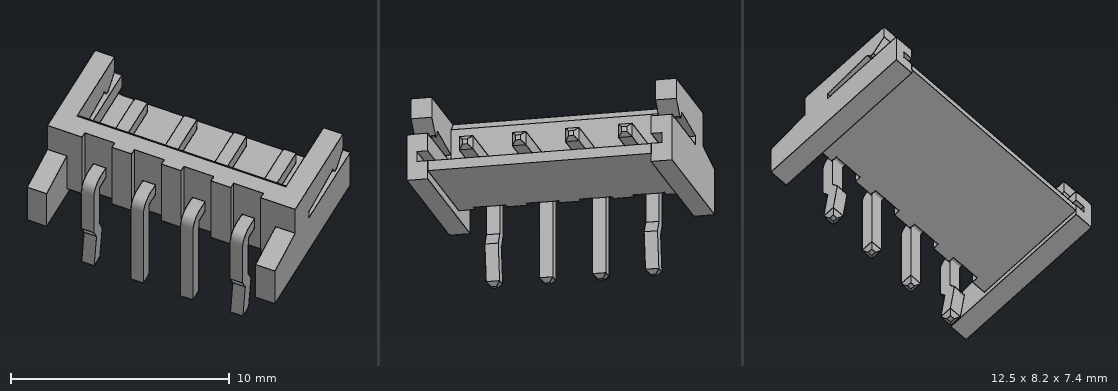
import cadquery as cq


HOUSING_WIDTH = 12.5
HOUSING_HEIGHT = 4.2
CHEEK_THICKNESS = 0.99
CHEEK_DEPTH = 8.2
INNER_WIDTH = HOUSING_WIDTH - 2 * CHEEK_THICKNESS

BASE_HEIGHT = 2.2
SHOULDER_DEPTH = 2.2
SHOULDER_HEIGHT = 2.6
SLOT_BACK = 3.7
SLOT_BACK_HEIGHT = SHOULDER_HEIGHT
ARM_END = 7.4
ARM_END_BOTTOM = 3.22
TOOTH_HEIGHT = 2.58
TOOTH_FRONT = 6.7
TOOTH_BACK = 6.5
TOOTH_ROOT = 6.3
TOOTH_ROOT_HEIGHT = 2.9

FLOOR_BOTTOM = 0.4
FLOOR_TOP = 0.88
FLOOR_END = 8.18
WALL_OUTER = SHOULDER_DEPTH
WALL_INNER = 3.68
LEAD_IN = 0.38
RECESS_WIDTH = 1.5
RECESS_DEPTH = 0.3

GROOVE_TOP = 1.35
GROOVE_DEPTH = 0.5

PIN_COUNT = 4
PIN_PITCH = 2.5
PIN_SIZE = 0.64
PIN_FRONT = 1.18
PIN_TOP = 2.32
PIN_BOTTOM = -3.2
CONTACT_END = 7.2
BEND_RADIUS = 0.71
TIP_CHAMFER = 0.2

KINK_START = -0.72
KINK_PEAK = -1.28
KINK_OFFSET = 0.3
KINK_END_OFFSET = 0.04


def extrude_across(outline, x_center, width):
    """Close a YZ outline and extrude it along X, centred on x_center."""
    return outline.close().extrude(width / 2, both=True).translate((x_center, 0, 0))


def cheek(x_center):
    """Side plate with a sloped shoulder and a hooked latch arm above a slot."""
    outline = cq.Workplane("YZ").polyline([
        (0, 0),
        (CHEEK_DEPTH, 0),
        (CHEEK_DEPTH, BASE_HEIGHT),
        (SLOT_BACK, BASE_HEIGHT),
        (SLOT_BACK, SLOT_BACK_HEIGHT),
        (TOOTH_ROOT, TOOTH_ROOT_HEIGHT),
        (TOOTH_BACK, TOOTH_HEIGHT),
        (TOOTH_FRONT, TOOTH_HEIGHT),
        (ARM_END, ARM_END_BOTTOM),
        (ARM_END, HOUSING_HEIGHT),
        (SHOULDER_DEPTH, HOUSING_HEIGHT),
        (SHOULDER_DEPTH, SHOULDER_HEIGHT),
        (0, BASE_HEIGHT),
    ])
    return extrude_across(outline, x_center, CHEEK_THICKNESS)


def floor_and_wall():
    """L-shaped body between the cheeks, with a lead-in chamfer on the wall's inner top edge."""
    outline = cq.Workplane("YZ").polyline([
        (WALL_OUTER, FLOOR_BOTTOM),
        (FLOOR_END, FLOOR_BOTTOM),
        (FLOOR_END, FLOOR_TOP),
        (WALL_INNER, FLOOR_TOP),
        (WALL_INNER, HOUSING_HEIGHT - LEAD_IN),
        (WALL_INNER - LEAD_IN, HOUSING_HEIGHT),
        (WALL_OUTER, HOUSING_HEIGHT),
    ])
    return extrude_across(outline, 0, INNER_WIDTH)


def cheek_groove(side):
    """Cutter for the groove in one cheek; side is -1 or +1."""
    length = CHEEK_DEPTH - WALL_INNER
    height = GROOVE_TOP - FLOOR_TOP
    x_center = side * (INNER_WIDTH + GROOVE_DEPTH) / 2
    block = cq.Workplane("XY").box(GROOVE_DEPTH, length, height, centered=(True, False, False))
    return block.translate((x_center, WALL_INNER, FLOOR_TOP))


def wall_recess(x):
    """Cutter for the full-height recess in the outer face of the wall around one pin."""
    block = cq.Workplane("XY").box(
        RECESS_WIDTH, RECESS_DEPTH, HOUSING_HEIGHT, centered=(True, False, False)
    )
    return block.translate((x, WALL_OUTER, 0))


def pin_tip(plane):
    """Square tip tapering away along the plane's normal."""
    flat = PIN_SIZE - 2 * TIP_CHAMFER
    base = cq.Workplane(plane).rect(PIN_SIZE, PIN_SIZE)
    return base.workplane(offset=TIP_CHAMFER).rect(flat, flat).loft()


def pin(x, kinked):
    """Right-angle pin: a contact along Y, a rounded bend and a leg pointing down."""
    leg_back = PIN_FRONT + PIN_SIZE
    leg_end = PIN_BOTTOM + TIP_CHAMFER
    leg_end_offset = KINK_END_OFFSET if kinked else 0
    contact_bottom = PIN_TOP - PIN_SIZE
    contact_straight_end = CONTACT_END - TIP_CHAMFER
    bend_y = PIN_FRONT + BEND_RADIUS
    bend_z = PIN_TOP - BEND_RADIUS
    inner_radius = BEND_RADIUS - PIN_SIZE

    outline = cq.Workplane("YZ").moveTo(contact_straight_end, PIN_TOP).lineTo(bend_y, PIN_TOP)
    outline = outline.radiusArc((PIN_FRONT, bend_z), -BEND_RADIUS)
    if kinked:
        outline = outline.lineTo(PIN_FRONT, KINK_START).lineTo(PIN_FRONT + KINK_OFFSET, KINK_PEAK)
    outline = outline.lineTo(PIN_FRONT + leg_end_offset, leg_end)
    outline = outline.lineTo(leg_back + leg_end_offset, leg_end)
    if kinked:
        outline = outline.lineTo(leg_back + KINK_OFFSET, KINK_PEAK).lineTo(leg_back, KINK_START)
    outline = outline.lineTo(leg_back, bend_z)
    outline = outline.radiusArc((bend_y, contact_bottom), inner_radius)
    outline = outline.lineTo(contact_straight_end, contact_bottom)
    bar = extrude_across(outline, x, PIN_SIZE)

    leg_center = PIN_FRONT + leg_end_offset + PIN_SIZE / 2
    leg_tip = pin_tip(cq.Plane((x, leg_center, leg_end), (1, 0, 0), (0, 0, -1)))
    contact_center = PIN_TOP - PIN_SIZE / 2
    contact_tip = pin_tip(cq.Plane((x, contact_straight_end, contact_center), (1, 0, 0), (0, 1, 0)))
    return bar.union(leg_tip).union(contact_tip)


result = floor_and_wall()
for side in (-1, 1):
    result = result.union(cheek(side * (HOUSING_WIDTH - CHEEK_THICKNESS) / 2))
    result = result.cut(cheek_groove(side))

for index in range(PIN_COUNT):
    pin_x = (index - (PIN_COUNT - 1) / 2) * PIN_PITCH
    is_end_pin = index in (0, PIN_COUNT - 1)
    result = result.cut(wall_recess(pin_x))
    result = result.union(pin(pin_x, is_end_pin))